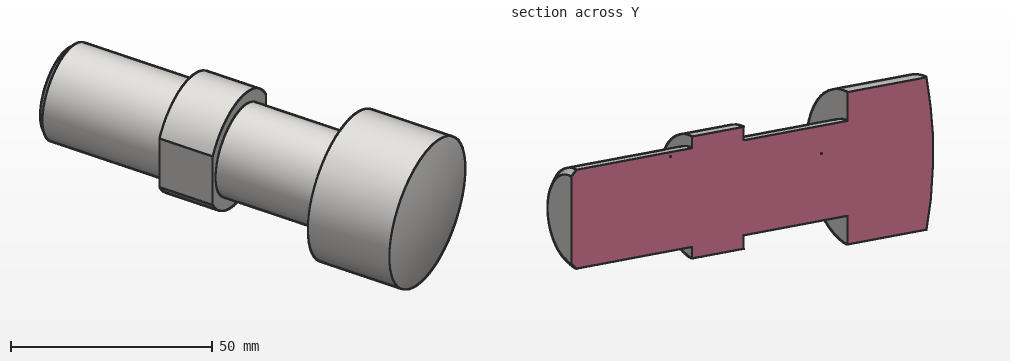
import cadquery as cq

shank_diameter = 26.0
shank_length = 35.0
end_chamfer = 1.5
collar_diameter = 32.0
collar_length = 15.0
flat_width = 28.0
neck_diameter = 25.0
neck_length = 30.0
head_diameter = 40.0
head_length = 25.0
dome_radius = 100.0

collar_start = shank_length
neck_start = collar_start + collar_length
head_start = neck_start + neck_length


def cylinder_along_x(start, length, diameter):
    """Solid cylinder on the X axis, beginning at x = start."""
    return cq.Workplane("YZ", origin=(start, 0, 0)).circle(diameter / 2).extrude(length)


def make_shank():
    """Plain round shank with a chamfered free end."""
    shank = cylinder_along_x(0, shank_length, shank_diameter)
    return shank.faces("<X").chamfer(end_chamfer)


def make_collar():
    """Round collar with two wrench flats facing +Y and -Y."""
    collar = cylinder_along_x(collar_start, collar_length, collar_diameter)
    flats = (
        cq.Workplane("YZ", origin=(collar_start, 0, 0))
        .rect(flat_width, collar_diameter)
        .extrude(collar_length)
    )
    return collar.intersect(flats)


def make_head():
    """Cylindrical head whose free end is a shallow spherical dome."""
    head = cylinder_along_x(head_start, head_length, head_diameter)
    dome_center = head_start + head_length - dome_radius
    sphere_plane = cq.Plane(origin=(dome_center, 0, 0), xDir=(-1, 0, 0), normal=(0, 0, 1))
    dome_sphere = cq.Workplane(sphere_plane).sphere(dome_radius)
    return head.intersect(dome_sphere)


neck = cylinder_along_x(neck_start, neck_length, neck_diameter)

result = make_shank().union(make_collar()).union(neck).union(make_head())